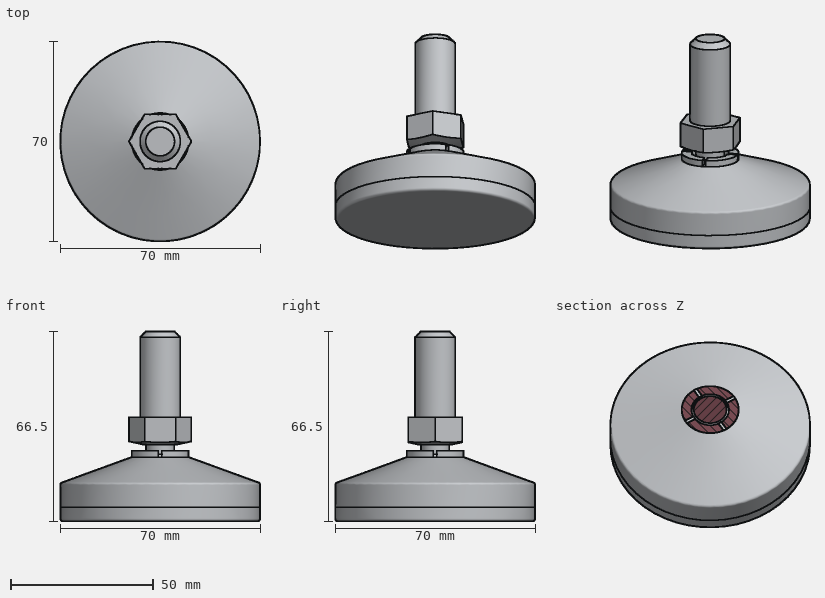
import cadquery as cq
import math

foot_radius = 35.0
pad_height = 5.05
edge_radius = 1.0
shoulder_height = 13.45
cone_top_height = 22.55

collar_radius = 10.0
collar_top_height = 24.8
collar_bore_radius = 6.5
slot_width = 1.2
slot_count = 2

ball_radius = 7.0
neck_radius = 5.0
ball_top_height = 23.6
ball_center_height = ball_top_height - math.sqrt(ball_radius**2 - neck_radius**2)
hex_bottom_height = 26.9
hex_top_height = 36.55
hex_flats = 19.0
hex_corner_radius = hex_flats / 2 / math.cos(math.radians(30))
hex_seat_radius = 5.9
hex_taper_rise = 1.1
rod_radius = 7.1
rod_top_height = 66.5
rod_chamfer = 2.0


def cylinder(radius, bottom, top):
    return cq.Workplane("XY").workplane(offset=bottom).circle(radius).extrude(top - bottom)


def ball():
    return cq.Workplane("XY").sphere(ball_radius).translate((0, 0, ball_center_height))


def make_pad():
    return cylinder(foot_radius, 0, pad_height).faces("<Z").edges().fillet(edge_radius)


def make_housing():
    body = (
        cq.Workplane("XZ")
        .moveTo(0, pad_height)
        .lineTo(foot_radius, pad_height)
        .lineTo(foot_radius, shoulder_height)
        .lineTo(collar_radius, cone_top_height)
        .lineTo(0, cone_top_height)
        .close()
        .revolve(360, (0, 0, 0), (0, 1, 0))
    )
    shoulder = cq.selectors.BoxSelector(
        (-foot_radius * 2, -foot_radius * 2, shoulder_height - edge_radius),
        (foot_radius * 2, foot_radius * 2, shoulder_height + edge_radius),
        boundingbox=True,
    )
    body = body.edges(shoulder).fillet(edge_radius)

    collar = cylinder(collar_radius, cone_top_height, collar_top_height)
    for index in range(slot_count):
        slot = (
            cq.Workplane("XY")
            .workplane(offset=cone_top_height)
            .rect(2 * collar_radius, slot_width)
            .extrude(collar_top_height - cone_top_height)
            .rotate((0, 0, 0), (0, 0, 1), index * 180 / slot_count)
        )
        collar = collar.cut(slot)

    bore = cylinder(collar_bore_radius, ball_center_height, collar_top_height)
    return body.union(collar).cut(bore).cut(ball())


def make_hexagon():
    prism = (
        cq.Workplane("XY")
        .workplane(offset=hex_bottom_height)
        .polygon(6, 2 * hex_corner_radius)
        .extrude(hex_top_height - hex_bottom_height)
    )
    envelope = (
        cq.Workplane("XZ")
        .moveTo(0, hex_bottom_height)
        .lineTo(hex_seat_radius, hex_bottom_height)
        .lineTo(hex_corner_radius, hex_bottom_height + hex_taper_rise)
        .lineTo(hex_corner_radius, hex_top_height)
        .lineTo(0, hex_top_height)
        .close()
        .revolve(360, (0, 0, 0), (0, 1, 0))
    )
    return prism.intersect(envelope)


def make_stud():
    neck = cylinder(neck_radius, ball_center_height, hex_bottom_height)
    rod = cylinder(rod_radius, hex_top_height, rod_top_height)
    rod = rod.faces(">Z").edges().chamfer(rod_chamfer)
    return ball().union(neck).union(make_hexagon()).union(rod)


pad = make_pad()
housing = make_housing()
stud = make_stud()

result = cq.Compound.makeCompound([pad.val(), housing.val(), stud.val()])